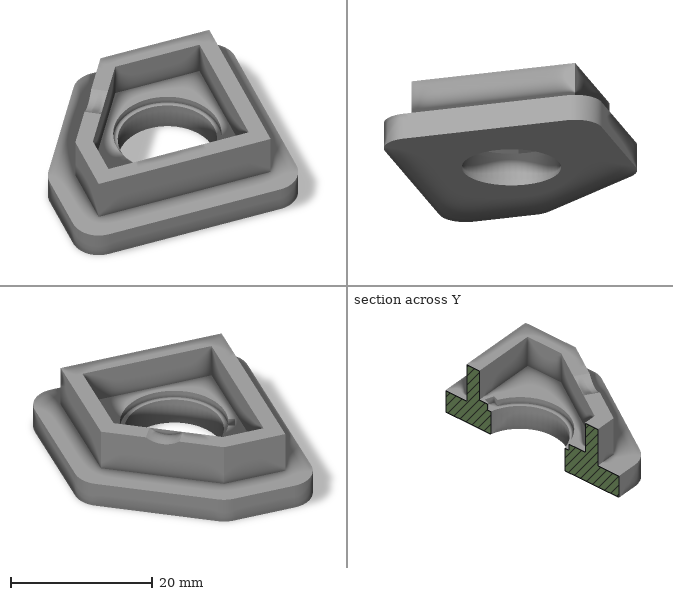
import cadquery as cq
import math

total_width = 32.12
total_length = 33.92
total_height = 10.18
flange_thickness = 3.8
flange_margin = 3.9
wall_thickness = 2.4
pocket_depth = 5.1
cut_corner_run = 15.05
cut_corner_drop = 9.6

bore_diameter = 14.1
bore_x = 0.8
bore_y = 1.73
recess_diameter = 15.4
recess_depth = 1.1
key_width = 1.53
key_reach = 8.65
key_angle = -20.0

groove_radius = 4.0
groove_depth = 0.8
groove_length = 2.37

body_right = total_width / 2 - flange_margin
body_back = total_length / 2 - flange_margin
body_left = -body_right
body_front = -body_back
floor_z = total_height - pocket_depth
recess_z = floor_z - recess_depth


def body_outline(z):
    """Rectangle with its front left corner cut off."""
    return cq.Workplane("XY", origin=(0, 0, z)).polyline([
        (body_left, body_back),
        (body_right, body_back),
        (body_right, body_front),
        (body_left + cut_corner_run, body_front),
        (body_left, body_front + cut_corner_drop),
    ]).close()


def make_flange():
    return body_outline(0).offset2D(flange_margin, "arc").extrude(flange_thickness)


def make_body():
    body = body_outline(0).extrude(total_height)
    pocket = body_outline(floor_z).offset2D(-wall_thickness, "intersection").extrude(pocket_depth)
    return body.cut(pocket)


def make_bore():
    """Through bore with a shallow recess and a key slot at its rim."""
    bore = cq.Workplane("XY").circle(bore_diameter / 2).extrude(floor_z)
    recess = cq.Workplane("XY", origin=(0, 0, recess_z)).circle(recess_diameter / 2).extrude(recess_depth)
    key = (
        cq.Workplane("XY", origin=(0, 0, recess_z))
        .rect(key_reach, key_width)
        .extrude(recess_depth)
        .translate((key_reach / 2, 0, 0))
        .rotate((0, 0, 0), (0, 0, 1), key_angle)
    )
    return bore.union(recess).union(key).translate((bore_x, bore_y, 0))


def make_groove():
    """Round groove into the top of the sloping wall, at its middle."""
    slope_length = math.hypot(cut_corner_run, cut_corner_drop)
    inward = (cut_corner_drop / slope_length, cut_corner_run / slope_length, 0)
    along = (cut_corner_run / slope_length, -cut_corner_drop / slope_length, 0)
    middle = (
        body_left + cut_corner_run / 2,
        body_front + cut_corner_drop / 2,
        total_height + groove_radius - groove_depth,
    )
    plane = cq.Plane(origin=middle, xDir=along, normal=inward)
    return cq.Workplane(plane).circle(groove_radius).extrude(groove_length)


result = make_flange().union(make_body()).cut(make_bore()).cut(make_groove())